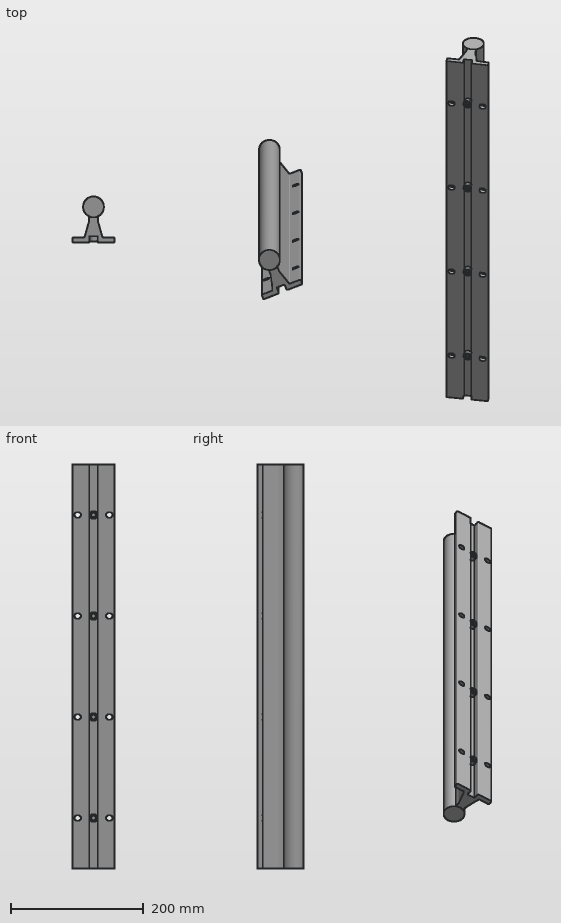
import cadquery as cq
import math

rail_length = 609.6
base_width = 63.5
overall_height = 69.85
shaft_diameter = 31.75
shaft_radius = shaft_diameter / 2
shaft_center_y = overall_height - shaft_radius
shaft_bottom_y = shaft_center_y - shaft_radius

flange_thickness = 7.9375
flange_edge_radius = 1.6
neck_width = 14.0
neck_bottom_y = 31.75
web_root_width = 27.5
web_root_radius = 1.6
channel_width = 12.7
channel_depth = 9.525
channel_mouth_radius = 1.8
selection_margin = 0.1

station_count = 4
station_pitch = rail_length / station_count
stations = [station_pitch * (i + 0.5) for i in range(station_count)]

slot_spacing = 47.625
slot_width = 7.9375
slot_length = 9.525

shank_diameter = 7.9375
shank_depth_in_shaft = 12.7
shank_tip_y = shaft_bottom_y + shank_depth_in_shaft
head_diameter = 11.9
head_height = shank_diameter
head_chamfer = 0.8
head_outer_y = channel_depth - head_height
socket_across_flats = 6.35
socket_depth = 4.0
socket_sides = 6
socket_turn = 30
socket_across_corners = socket_across_flats / math.cos(math.pi / socket_sides)


def facing_y(x, y, z):
    """Workplane at a point, with its extrusions running along +Y."""
    return cq.Workplane(cq.Plane(origin=(x, y, z), xDir=(1, 0, 0), normal=(0, 1, 0)))


def shaft_cylinder():
    return cq.Workplane("XY").center(0, shaft_center_y).circle(shaft_radius).extrude(rail_length)


def shank_cylinder(z):
    """Threaded length of a screw, from the channel floor to its tip in the shaft."""
    length = shank_tip_y - channel_depth
    return facing_y(0, channel_depth, z).circle(shank_diameter / 2).extrude(length)


def fillet_long_edges(rail, x, y, radius):
    """Round the two mirrored edges that run along the rail at (+x, y) and (-x, y)."""
    for edge_x in (x, -x):
        box = cq.selectors.BoxSelector(
            (edge_x - selection_margin, y - selection_margin, 0),
            (edge_x + selection_margin, y + selection_margin, rail_length),
        )
        rail = rail.edges(box).fillet(radius)
    return rail


def rail_profile():
    """Flanged base, tapered web and straight neck, with a screw channel in the underside."""
    half_section = [
        (channel_width / 2, channel_depth),
        (channel_width / 2, 0),
        (base_width / 2, 0),
        (base_width / 2, flange_thickness),
        (web_root_width / 2, flange_thickness),
        (neck_width / 2, neck_bottom_y),
        (neck_width / 2, shaft_center_y),
    ]
    mirrored_half = [(-x, y) for x, y in reversed(half_section)]
    outline = half_section + mirrored_half
    return cq.Workplane("XY").polyline(outline).close().extrude(rail_length)


def make_rail():
    rail = rail_profile()
    rail = fillet_long_edges(rail, channel_width / 2, 0, channel_mouth_radius)
    rail = fillet_long_edges(rail, base_width / 2, 0, flange_edge_radius)
    rail = fillet_long_edges(rail, base_width / 2, flange_thickness, flange_edge_radius)
    rail = fillet_long_edges(rail, web_root_width / 2, flange_thickness, web_root_radius)

    rail = rail.cut(shaft_cylinder())

    for z in stations:
        rail = rail.cut(shank_cylinder(z))
        for side in (-1, 1):
            slot = facing_y(side * slot_spacing / 2, 0, z).slot2D(slot_length, slot_width)
            rail = rail.cut(slot.extrude(flange_thickness))
    return rail


def make_shaft():
    shaft = shaft_cylinder()
    for z in stations:
        shaft = shaft.cut(shank_cylinder(z))
    return shaft


def make_screw(z):
    """Cap screw with its head seated on the channel floor and a hex socket facing -Y."""
    head = facing_y(0, head_outer_y, z).circle(head_diameter / 2).extrude(head_height)
    head = head.faces("<Y").edges().chamfer(head_chamfer)
    socket = (
        facing_y(0, head_outer_y, z)
        .transformed(rotate=(0, 0, socket_turn))
        .polygon(socket_sides, socket_across_corners)
        .extrude(socket_depth)
    )
    return head.union(shank_cylinder(z)).cut(socket)


rail = make_rail().solids()
shaft = make_shaft().solids()
screws = [make_screw(z).solids() for z in stations]

result = cq.Compound.makeCompound([rail.val(), shaft.val(), *[screw.val() for screw in screws]])